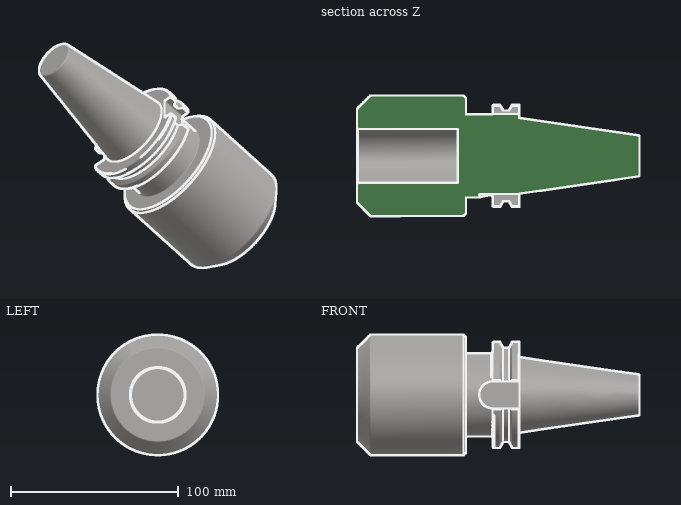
import cadquery as cq
import math


TAPER_RATIO = 7 / 24
GAUGE_RADIUS = 44.45 / 2
SHANK_END_X = 68.4
SHANK_END_FILLET = 1.0

FLANGE_RADIUS = 63.55 / 2
FLANGE_BACK_X = -3.2
FLANGE_WIDTH = 15.9
FLANGE_FRONT_X = FLANGE_BACK_X - FLANGE_WIDTH
FLANGE_FRONT_FILLET = 1.0
FLANGE_BACK_FILLET = 0.5

GROOVE_CENTER_X = (FLANGE_FRONT_X + FLANGE_BACK_X) / 2
GROOVE_FLOOR_RADIUS = 56.5 / 2
GROOVE_FLOOR_WIDTH = 3.4
GROOVE_HALF_ANGLE = math.radians(30)
GROOVE_RIM_FILLET = 0.4

NECK_RADIUS = 49.7 / 2
NECK_FRONT_FILLET = 0.5
NECK_BACK_FILLET = 1.0

BODY_RADIUS = 72 / 2
BODY_FRONT_X = -100.0
BODY_LENGTH = 65.0
BODY_BACK_X = BODY_FRONT_X + BODY_LENGTH
BODY_BACK_CHAMFER = 1.5
NOSE_CHAMFER = 8.0
NOSE_FILLET = 1.0

BORE_RADIUS = 32 / 2
BORE_DEPTH = 60.0
BORE_CHAMFER = 0.6

SLOT_WIDTH = 16.1
SHALLOW_SLOT_FLOOR = 25.0
DEEP_SLOT_FLOOR = 22.8
SLOT_FLOOR_FILLET = 0.8
SLOT_RIM_CHAMFER = 1.0

CLEARANCE = 1.0

EDGE_TOLERANCE = 1e-3

TAPER_BACK_RADIUS = GAUGE_RADIUS - SHANK_END_X * TAPER_RATIO / 2
TAPER_FRONT_RADIUS = GAUGE_RADIUS - FLANGE_BACK_X * TAPER_RATIO / 2
NOSE_FACE_RADIUS = BODY_RADIUS - NOSE_CHAMFER
NOSE_BACK_X = BODY_FRONT_X + NOSE_CHAMFER
GROOVE_FLOOR_HALF = GROOVE_FLOOR_WIDTH / 2
GROOVE_DEPTH = FLANGE_RADIUS - GROOVE_FLOOR_RADIUS
GROOVE_RIM_HALF = GROOVE_FLOOR_HALF + GROOVE_DEPTH * math.tan(GROOVE_HALF_ANGLE)
SLOT_HALF = SLOT_WIDTH / 2


def revolve_about_axis(points):
    """Turn a closed (x, radius) outline about the X axis."""
    return cq.Workplane("XY").polyline(points).close().revolve(360, (0, 0, 0), (1, 0, 0))


def sharp_blank():
    """Outside of the holder before its corners are rounded."""
    return revolve_about_axis([
        (BODY_FRONT_X, 0),
        (BODY_FRONT_X, NOSE_FACE_RADIUS),
        (NOSE_BACK_X, BODY_RADIUS),
        (BODY_BACK_X - BODY_BACK_CHAMFER, BODY_RADIUS),
        (BODY_BACK_X, BODY_RADIUS - BODY_BACK_CHAMFER),
        (BODY_BACK_X, NECK_RADIUS),
        (FLANGE_FRONT_X, NECK_RADIUS),
        (FLANGE_FRONT_X, FLANGE_RADIUS),
        (GROOVE_CENTER_X - GROOVE_RIM_HALF, FLANGE_RADIUS),
        (GROOVE_CENTER_X - GROOVE_FLOOR_HALF, GROOVE_FLOOR_RADIUS),
        (GROOVE_CENTER_X + GROOVE_FLOOR_HALF, GROOVE_FLOOR_RADIUS),
        (GROOVE_CENTER_X + GROOVE_RIM_HALF, FLANGE_RADIUS),
        (FLANGE_BACK_X, FLANGE_RADIUS),
        (FLANGE_BACK_X, TAPER_FRONT_RADIUS),
        (SHANK_END_X, TAPER_BACK_RADIUS),
        (SHANK_END_X, 0),
    ])


def fillet_ring(body, x, radius, fillet):
    """Round the circular edge of the given radius that lies at position x."""
    def is_ring(edge):
        if edge.geomType() != "CIRCLE":
            return False
        center_offset = abs(edge.arcCenter().x - x)
        return center_offset < EDGE_TOLERANCE and abs(edge.radius() - radius) < EDGE_TOLERANCE

    rings = [edge for edge in body.edges().vals() if is_ring(edge)]
    return body.newObject(rings).fillet(fillet)


def rounded_blank():
    """Outside of the holder with all turned corners rounded."""
    corners = [
        (BODY_FRONT_X, NOSE_FACE_RADIUS, NOSE_FILLET),
        (NOSE_BACK_X, BODY_RADIUS, NOSE_FILLET),
        (BODY_BACK_X, NECK_RADIUS, NECK_FRONT_FILLET),
        (FLANGE_FRONT_X, NECK_RADIUS, NECK_BACK_FILLET),
        (FLANGE_FRONT_X, FLANGE_RADIUS, FLANGE_FRONT_FILLET),
        (GROOVE_CENTER_X - GROOVE_RIM_HALF, FLANGE_RADIUS, GROOVE_RIM_FILLET),
        (GROOVE_CENTER_X + GROOVE_RIM_HALF, FLANGE_RADIUS, GROOVE_RIM_FILLET),
        (FLANGE_BACK_X, FLANGE_RADIUS, FLANGE_BACK_FILLET),
        (SHANK_END_X, TAPER_BACK_RADIUS, SHANK_END_FILLET),
    ]
    body = sharp_blank()
    for x, radius, fillet in corners:
        body = fillet_ring(body, x, radius, fillet)
    return body


def tool_bore():
    """Blind bore in the nose with a chamfered mouth."""
    bottom_x = BODY_FRONT_X + BORE_DEPTH
    return revolve_about_axis([
        (BODY_FRONT_X, 0),
        (BODY_FRONT_X, BORE_RADIUS + BORE_CHAMFER),
        (BODY_FRONT_X + BORE_CHAMFER, BORE_RADIUS),
        (bottom_x, BORE_RADIUS),
        (bottom_x, 0),
    ])


def slot_channel(floor):
    """Round-ended -Y slot, open towards the shank, with rounded floor corners."""
    channel = (
        cq.Workplane("XZ", origin=(0, -floor, 0))
        .moveTo(FLANGE_BACK_X, -SLOT_HALF)
        .lineTo(FLANGE_FRONT_X, -SLOT_HALF)
        .threePointArc((FLANGE_FRONT_X - SLOT_HALF, 0), (FLANGE_FRONT_X, SLOT_HALF))
        .lineTo(FLANGE_BACK_X, SLOT_HALF)
        .close()
        .extrude(FLANGE_RADIUS - floor + CLEARANCE)
    )
    floor_edges = channel.faces(">Y").edges("not >X")
    return floor_edges.fillet(SLOT_FLOOR_FILLET)


def slot_rim_chamfer():
    """Wedge that breaks both slot corners at the flange rim on the -Y side."""
    rim_y = math.sqrt(FLANGE_RADIUS**2 - SLOT_HALF**2)
    wedge_root_y = -(rim_y - SLOT_RIM_CHAMFER)
    wedge_height = SLOT_RIM_CHAMFER + CLEARANCE
    return (
        cq.Workplane("YZ", origin=(FLANGE_FRONT_X, 0, 0))
        .moveTo(wedge_root_y, -SLOT_HALF)
        .lineTo(wedge_root_y, SLOT_HALF)
        .lineTo(wedge_root_y - wedge_height, SLOT_HALF + wedge_height)
        .lineTo(wedge_root_y - wedge_height, -SLOT_HALF - wedge_height)
        .close()
        .extrude(FLANGE_WIDTH)
    )


def drive_slot(floor):
    """Complete cutter for a drive slot on the -Y side."""
    return slot_channel(floor).union(slot_rim_chamfer())


result = rounded_blank().cut(tool_bore())
result = result.cut(drive_slot(DEEP_SLOT_FLOOR))
result = result.cut(drive_slot(SHALLOW_SLOT_FLOOR).mirror("XZ"))